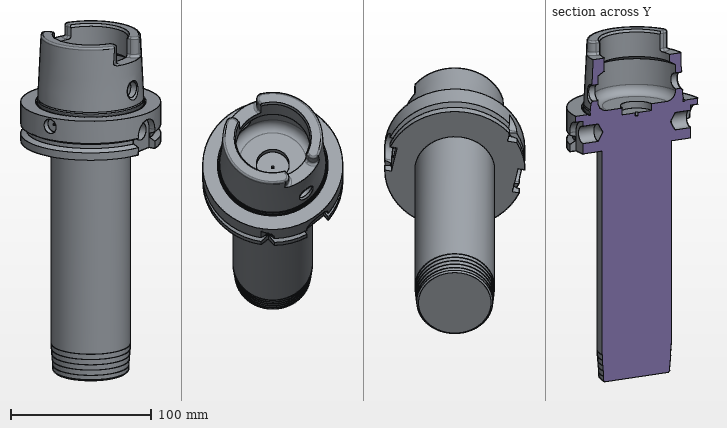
import cadquery as cq
import math

TOTAL_HEIGHT = 250.0
FLANGE_TOP = 200.0
FLANGE_HEIGHT = 29.0
FLANGE_BOTTOM = FLANGE_TOP - FLANGE_HEIGHT

BODY_RADIUS = 28.5
STEP_COUNT = 5
STEP_DROP = 0.27
STEP_HEIGHT = 4.0
TOP_STEP_HEIGHT = 20.5
BODY_END_CHAMFER = 1.2

FLANGE_RADIUS = 50.0
GROOVE_HEIGHT = 180.0
GROOVE_FLOOR_RADIUS = 45.7
GROOVE_MOUTH_HALF = 3.5
GROOVE_FLOOR_HALF = 1.5

GAUGE_HEIGHT = 210.0
GAUGE_RADIUS = 37.5
TAPER_SLOPE = 1 / 20
TOP_ROUNDING = 1.5

UNDERCUT_TOP = FLANGE_TOP + 3.0
UNDERCUT_FLARE_HEIGHT = 1.0
UNDERCUT_DEPTH = 1.0
UNDERCUT_COLLAR_RADIUS = 38.2
UNDERCUT_COLLAR_HEIGHT = 1.0
UNDERCUT_INNER_RADIUS = 38.0
UNDERCUT_FLOOR_RADIUS = 38.7
UNDERCUT_OUTER_RADIUS = 39.5

BORE_RADIUS = 26.5
BORE_CHAMFER_WIDTH = 1.0
BORE_CHAMFER_HEIGHT = 1.87
LIP_HEIGHT = 230.0
LIP_SLOPE_HEIGHT = 3.0
CHAMBER_RADIUS = 31.5
CHAMBER_FLOOR_HEIGHT = 201.0
CHAMBER_FLOOR_ROUNDING = 7.0
COUNTERBORE_RADIUS = 11.7
COUNTERBORE_DEPTH = 5.0
CENTRE_HOLE_RADIUS = 1.0
CENTRE_HOLE_DEPTH = 2.5

SLOT_HALF_WIDTH = 10.0
SLOT_FLARE_X = 32.0
SLOT_FLARE_RADIUS = 4.5
SLOT_FLOOR_FILLET = 2.0
SLOT_DEPTH_MINUS_X = 10.0
SLOT_DEPTH_PLUS_X = 14.5

CROSS_HOLE_HEIGHT = 215.0
CROSS_HOLE_RADIUS = 5.7
CROSS_HOLE_MOUTH_RADIUS = 7.0
CROSS_HOLE_OVERRUN = 1.2

KEYWAY_HALF_WIDTH = 10.0
KEYWAY_ARCH_HEIGHT = 185.2
KEYWAY_FLOOR_X = 44.0
NOTCH_FLOOR_X = 32.0
NOTCH_CENTRE_Y = 41.7
KEYWAY_HOLE_RADIUS = 6.2
KEYWAY_HOLE_DEPTH = 12.5
DRILL_TIP_ANGLE = 118.0

SIDE_HOLE_HEIGHT = 193.5
SIDE_HOLE_RADIUS = 5.2
SIDE_HOLE_DEPTH = 5.0
SIDE_PILOT_RADIUS = 0.7
SIDE_PILOT_DEPTH = 2.5

TOLERANCE = 0.02


def shank_radius(height):
    return GAUGE_RADIUS - TAPER_SLOPE * (height - GAUGE_HEIGHT)


def revolve_about_z(profile):
    return profile.close().revolve(360, (0, 0, 0), (0, 1, 0))


def make_outer_body():
    collar_top = UNDERCUT_TOP - UNDERCUT_FLARE_HEIGHT
    end_radius = BODY_RADIUS - STEP_COUNT * STEP_DROP
    profile = (
        cq.Workplane("YZ")
        .moveTo(0, 0)
        .lineTo(end_radius - BODY_END_CHAMFER, 0)
        .lineTo(end_radius, BODY_END_CHAMFER)
    )
    for step in reversed(range(STEP_COUNT)):
        height = TOP_STEP_HEIGHT - step * STEP_HEIGHT
        upper_radius = BODY_RADIUS - step * STEP_DROP
        profile = profile.lineTo(upper_radius - STEP_DROP, height)
        profile = profile.lineTo(upper_radius, height)
    return revolve_about_z(
        profile.lineTo(BODY_RADIUS, FLANGE_BOTTOM)
        .lineTo(FLANGE_RADIUS, FLANGE_BOTTOM)
        .lineTo(FLANGE_RADIUS, GROOVE_HEIGHT - GROOVE_MOUTH_HALF)
        .lineTo(GROOVE_FLOOR_RADIUS, GROOVE_HEIGHT - GROOVE_FLOOR_HALF)
        .lineTo(GROOVE_FLOOR_RADIUS, GROOVE_HEIGHT + GROOVE_FLOOR_HALF)
        .lineTo(FLANGE_RADIUS, GROOVE_HEIGHT + GROOVE_MOUTH_HALF)
        .lineTo(FLANGE_RADIUS, FLANGE_TOP)
        .lineTo(UNDERCUT_OUTER_RADIUS, FLANGE_TOP)
        .lineTo(UNDERCUT_FLOOR_RADIUS, FLANGE_TOP - UNDERCUT_DEPTH)
        .lineTo(UNDERCUT_INNER_RADIUS, FLANGE_TOP - UNDERCUT_DEPTH)
        .lineTo(UNDERCUT_INNER_RADIUS, FLANGE_TOP)
        .lineTo(UNDERCUT_COLLAR_RADIUS, collar_top - UNDERCUT_COLLAR_HEIGHT)
        .lineTo(UNDERCUT_COLLAR_RADIUS, collar_top)
        .lineTo(shank_radius(UNDERCUT_TOP), UNDERCUT_TOP)
        .lineTo(shank_radius(TOTAL_HEIGHT), TOTAL_HEIGHT)
        .lineTo(0, TOTAL_HEIGHT)
    )


def make_bore():
    counterbore_floor = CHAMBER_FLOOR_HEIGHT - COUNTERBORE_DEPTH
    arc_centre_radius = CHAMBER_RADIUS - CHAMBER_FLOOR_ROUNDING
    arc_centre_height = CHAMBER_FLOOR_HEIGHT + CHAMBER_FLOOR_ROUNDING
    arc_middle = CHAMBER_FLOOR_ROUNDING * math.sqrt(0.5)
    return revolve_about_z(
        cq.Workplane("YZ")
        .moveTo(0, TOTAL_HEIGHT)
        .lineTo(BORE_RADIUS + BORE_CHAMFER_WIDTH, TOTAL_HEIGHT)
        .lineTo(BORE_RADIUS, TOTAL_HEIGHT - BORE_CHAMFER_HEIGHT)
        .lineTo(BORE_RADIUS, LIP_HEIGHT)
        .lineTo(CHAMBER_RADIUS, LIP_HEIGHT - LIP_SLOPE_HEIGHT)
        .lineTo(CHAMBER_RADIUS, arc_centre_height)
        .threePointArc(
            (arc_centre_radius + arc_middle, arc_centre_height - arc_middle),
            (arc_centre_radius, CHAMBER_FLOOR_HEIGHT),
        )
        .lineTo(COUNTERBORE_RADIUS, CHAMBER_FLOOR_HEIGHT)
        .lineTo(COUNTERBORE_RADIUS, counterbore_floor)
        .lineTo(CENTRE_HOLE_RADIUS, counterbore_floor)
        .lineTo(CENTRE_HOLE_RADIUS, counterbore_floor - CENTRE_HOLE_DEPTH)
        .lineTo(0, counterbore_floor - CENTRE_HOLE_DEPTH)
    )


def make_drive_slot(side, depth):
    """Slot with walls that round outwards; side is +1 for +X and -1 for -X."""
    flare_start_x = SLOT_FLARE_X - SLOT_FLARE_RADIUS
    flare_end_y = SLOT_HALF_WIDTH + SLOT_FLARE_RADIUS
    arc_offset = SLOT_FLARE_RADIUS * math.sqrt(0.5)
    arc_middle_x = flare_start_x + arc_offset
    arc_middle_y = flare_end_y - arc_offset
    reach = FLANGE_RADIUS
    slot = (
        cq.Workplane("XY")
        .workplane(offset=TOTAL_HEIGHT - depth)
        .moveTo(0, -SLOT_HALF_WIDTH)
        .lineTo(side * flare_start_x, -SLOT_HALF_WIDTH)
        .threePointArc(
            (side * arc_middle_x, -arc_middle_y), (side * SLOT_FLARE_X, -flare_end_y)
        )
        .lineTo(side * SLOT_FLARE_X, -reach)
        .lineTo(side * reach, -reach)
        .lineTo(side * reach, reach)
        .lineTo(side * SLOT_FLARE_X, reach)
        .lineTo(side * SLOT_FLARE_X, flare_end_y)
        .threePointArc(
            (side * arc_middle_x, arc_middle_y), (side * flare_start_x, SLOT_HALF_WIDTH)
        )
        .lineTo(0, SLOT_HALF_WIDTH)
        .close()
        .extrude(depth)
    )
    return slot.faces("<Z").edges().fillet(SLOT_FLOOR_FILLET)


def is_bore_rim(edge):
    rim_radius = BORE_RADIUS + BORE_CHAMFER_WIDTH
    return edge.geomType() == "CIRCLE" and abs(edge.radius() - rim_radius) < TOLERANCE


def round_top_rim(part):
    """Round the end face of the shank everywhere but at the bore chamfer."""
    rim = part.faces(">Z").edges().filter(lambda edge: not is_bore_rim(edge))
    return rim.fillet(TOP_ROUNDING)


def make_cross_hole():
    """Through hole with a countersunk mouth at both ends."""
    outer_x = shank_radius(CROSS_HOLE_HEIGHT)
    inner_x = outer_x - (CROSS_HOLE_MOUTH_RADIUS - CROSS_HOLE_RADIUS)
    clear_x = outer_x + CROSS_HOLE_OVERRUN
    clear_radius = CROSS_HOLE_MOUTH_RADIUS + CROSS_HOLE_OVERRUN
    return (
        cq.Workplane("XY")
        .moveTo(-clear_x, 0)
        .lineTo(-clear_x, clear_radius)
        .lineTo(-inner_x, CROSS_HOLE_RADIUS)
        .lineTo(inner_x, CROSS_HOLE_RADIUS)
        .lineTo(clear_x, clear_radius)
        .lineTo(clear_x, 0)
        .close()
        .revolve(360, (0, 0, 0), (1, 0, 0))
        .translate((0, 0, CROSS_HOLE_HEIGHT))
    )


def make_keyway(side, floor_x, centre_y):
    """Round-topped pocket, open at the bottom and outer side of the flange."""
    return (
        cq.Workplane("YZ")
        .workplane(offset=side * floor_x)
        .moveTo(centre_y - KEYWAY_HALF_WIDTH, FLANGE_BOTTOM)
        .lineTo(centre_y - KEYWAY_HALF_WIDTH, KEYWAY_ARCH_HEIGHT)
        .threePointArc(
            (centre_y, KEYWAY_ARCH_HEIGHT + KEYWAY_HALF_WIDTH),
            (centre_y + KEYWAY_HALF_WIDTH, KEYWAY_ARCH_HEIGHT),
        )
        .lineTo(centre_y + KEYWAY_HALF_WIDTH, FLANGE_BOTTOM)
        .close()
        .extrude(side * FLANGE_RADIUS)
    )


def make_keyway_hole(side):
    """Blind drilled hole with a conical tip, in the floor of a keyway."""
    tip_depth = KEYWAY_HOLE_RADIUS / math.tan(math.radians(DRILL_TIP_ANGLE / 2))
    tip_base_x = KEYWAY_FLOOR_X - KEYWAY_HOLE_DEPTH
    tip_x = tip_base_x - tip_depth
    return (
        cq.Workplane("XY")
        .moveTo(side * tip_x, 0)
        .lineTo(side * tip_base_x, KEYWAY_HOLE_RADIUS)
        .lineTo(side * FLANGE_RADIUS, KEYWAY_HOLE_RADIUS)
        .lineTo(side * FLANGE_RADIUS, 0)
        .close()
        .revolve(360, (0, 0, 0), (1, 0, 0))
        .translate((0, 0, KEYWAY_ARCH_HEIGHT))
    )


def make_side_hole(radius, depth):
    return (
        cq.Workplane("XZ", origin=(0, -FLANGE_RADIUS, SIDE_HOLE_HEIGHT))
        .circle(radius)
        .extrude(-depth)
    )


part = make_outer_body().cut(make_bore())
part = part.cut(make_drive_slot(-1, SLOT_DEPTH_MINUS_X))
part = part.cut(make_drive_slot(1, SLOT_DEPTH_PLUS_X))
part = round_top_rim(part)
part = part.cut(make_cross_hole())
for side in (-1, 1):
    part = part.cut(make_keyway(side, KEYWAY_FLOOR_X, 0))
    part = part.cut(make_keyway_hole(side))
part = part.cut(make_keyway(-1, NOTCH_FLOOR_X, NOTCH_CENTRE_Y))
part = part.cut(make_side_hole(SIDE_HOLE_RADIUS, SIDE_HOLE_DEPTH))
part = part.cut(make_side_hole(SIDE_PILOT_RADIUS, SIDE_HOLE_DEPTH + SIDE_PILOT_DEPTH))

result = part